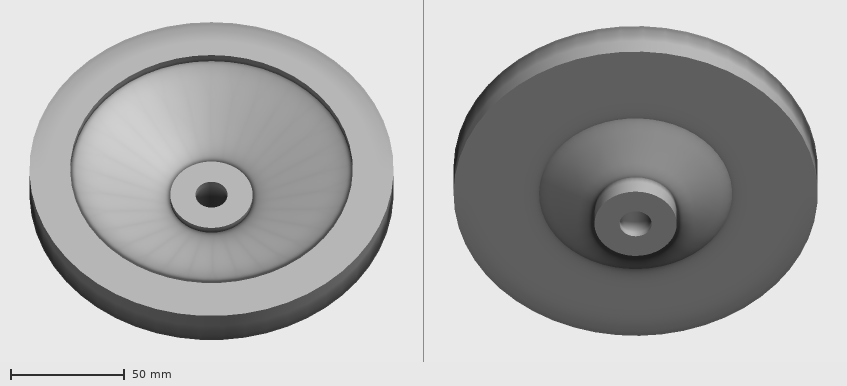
import cadquery as cq

wheel_radius = 80.0
total_height = 39.0

rim_height = 18.0
rim_inner_radius = 62.0
lip_depth = 4.5

hub_radius = 18.0
bore_radius = 7.0
hub_top = 20.0
hub_wall_below = 10.0
hub_wall_above = 3.5

dish_outer_radius = 42.4

rim_bottom = total_height - rim_height
dish_top = total_height - lip_depth

result = (
    cq.Workplane("XZ")
    .moveTo(bore_radius, 0)
    .lineTo(hub_radius, 0)
    .lineTo(hub_radius, hub_wall_below)
    .lineTo(dish_outer_radius, rim_bottom)
    .lineTo(wheel_radius, rim_bottom)
    .lineTo(wheel_radius, total_height)
    .lineTo(rim_inner_radius, total_height)
    .lineTo(rim_inner_radius, dish_top)
    .lineTo(hub_radius, hub_top - hub_wall_above)
    .lineTo(hub_radius, hub_top)
    .lineTo(bore_radius, hub_top)
    .close()
    .revolve(360, (0, 0, 0), (0, 1, 0))
)